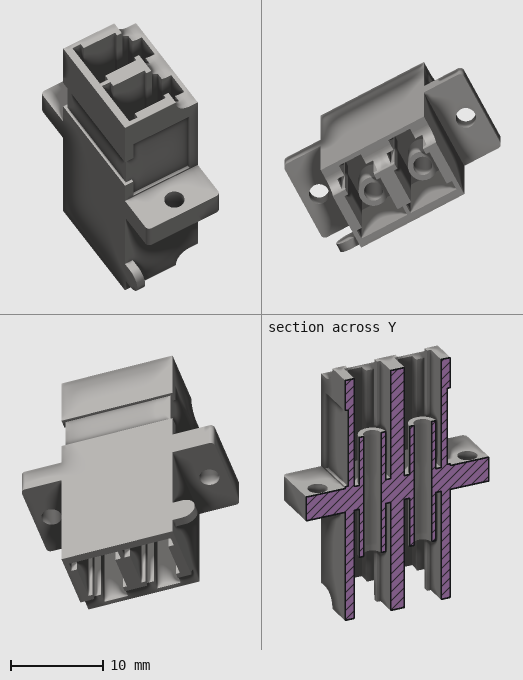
import cadquery as cq


body_width = 12.67
body_depth = 9.3
body_height = 29.2
half_width = body_width / 2
half_depth = body_depth / 2
mid_height = body_height / 2

flange_width = 22.02
flange_thickness = 2.95
flange_corner_radius = 0.5
mount_hole_diameter = 2.2
mount_hole_spacing = 18.02

notch_height = 1.9
notch_wall_y = 1.87
notch_radius = 1.75

cavity_spacing = 6.05
cavity_depth = (body_height - flange_thickness) / 2
base_width = 5.65
base_bottom_y = -3.77
base_top_y = -2.72
plug_width = 4.38
plug_top_y = 2.95
rib_gap = 3.5
rib_bottom_y = 1.25
rib_top_y = 1.95
latch_width = 2.7
latch_top_y = 4.15

sleeve_y = -1.28
sleeve_outer_diameter = 3.2
sleeve_bore_diameter = 2.05
sleeve_length = 5.85

side_recess_depth = 0.35
side_recess_width = 7.15
side_recess_bottom = 16.3
side_recess_top = 25.5
front_recess_depth = 0.32
front_recess_bottom = 18.8
front_recess_top = 23.0

tab_length = 2.55
tab_height = 2.85
tab_thickness = 1.0
tab_center_z = 3.3


def block(x_range, y_range, z_range):
    """Box given by its limits along each axis."""
    size = [high - low for low, high in (x_range, y_range, z_range)]
    corner = (x_range[0], y_range[0], z_range[0])
    return cq.Workplane("XY").box(*size, centered=False).translate(corner)


def make_flange():
    return (
        cq.Workplane("XY", origin=(0, 0, mid_height))
        .box(flange_width, body_depth, flange_thickness)
        .edges("|Z")
        .fillet(flange_corner_radius)
    )


def make_tab():
    radius = tab_height / 2
    arc_center_x = half_width + tab_length - radius
    y_range = (-half_depth, -half_depth + tab_thickness)
    bar = block((0, arc_center_x), y_range, (tab_center_z - radius, tab_center_z + radius))
    end = (
        cq.Workplane("XZ", origin=(arc_center_x, -half_depth, tab_center_z))
        .circle(radius)
        .extrude(-tab_thickness)
    )
    return bar.union(end)


def make_top_notch():
    return (
        block(
            (-half_width, half_width),
            (notch_wall_y, half_depth),
            (body_height - notch_height, body_height),
        )
        .edges("|X and <Y and <Z")
        .fillet(notch_radius)
    )


def make_top_cavity(center_x):
    """Plug cavity with its sleeve holder left standing, open at the top."""
    right_side = [
        (base_width / 2, base_bottom_y),
        (base_width / 2, base_top_y),
        (plug_width / 2, base_top_y),
        (plug_width / 2, rib_bottom_y),
        (rib_gap / 2, rib_bottom_y),
        (rib_gap / 2, rib_top_y),
        (plug_width / 2, rib_top_y),
        (plug_width / 2, plug_top_y),
        (latch_width / 2, plug_top_y),
        (latch_width / 2, latch_top_y),
    ]
    left_side = [(-x, y) for x, y in reversed(right_side)]
    floor = cq.Workplane("XY", origin=(center_x, 0, body_height - cavity_depth))
    sleeve = floor.center(0, sleeve_y).circle(sleeve_outer_diameter / 2).extrude(sleeve_length)
    return floor.polyline(right_side + left_side).close().extrude(cavity_depth).cut(sleeve)


def cut_both_ends(part, top_cutter):
    """Cut at the top end and, mirrored, at the bottom end."""
    bottom_cutter = top_cutter.mirror("XY", (0, 0, mid_height))
    return part.cut(top_cutter).cut(bottom_cutter)


def cut_clip_recess(part):
    inner_x = half_width - side_recess_depth
    side_y = (-side_recess_width / 2, side_recess_width / 2)
    side_z = (side_recess_bottom, side_recess_top)
    band_z = (front_recess_bottom, front_recess_top)
    for x_range in ((-half_width, -inner_x), (inner_x, half_width)):
        part = part.cut(block(x_range, side_y, side_z))
        part = part.cut(block(x_range, (-half_depth, 0), band_z))
    front_y = (-half_depth, -half_depth + front_recess_depth)
    return part.cut(block((-half_width, half_width), front_y, band_z))


def cut_vertical_holes(part, spacing, y, diameter):
    """Pair of holes through the full height, mirrored about X = 0."""
    centers = [(-spacing / 2, y), (spacing / 2, y)]
    holes = cq.Workplane("XY").pushPoints(centers).circle(diameter / 2).extrude(body_height)
    return part.cut(holes)


result = block((-half_width, half_width), (-half_depth, half_depth), (0, body_height))
result = result.union(make_flange()).union(make_tab())
result = cut_both_ends(result, make_top_notch())
for cavity_x in (-cavity_spacing / 2, cavity_spacing / 2):
    result = cut_both_ends(result, make_top_cavity(cavity_x))
result = cut_clip_recess(result)
result = cut_vertical_holes(result, cavity_spacing, sleeve_y, sleeve_bore_diameter)
result = cut_vertical_holes(result, mount_hole_spacing, 0, mount_hole_diameter)